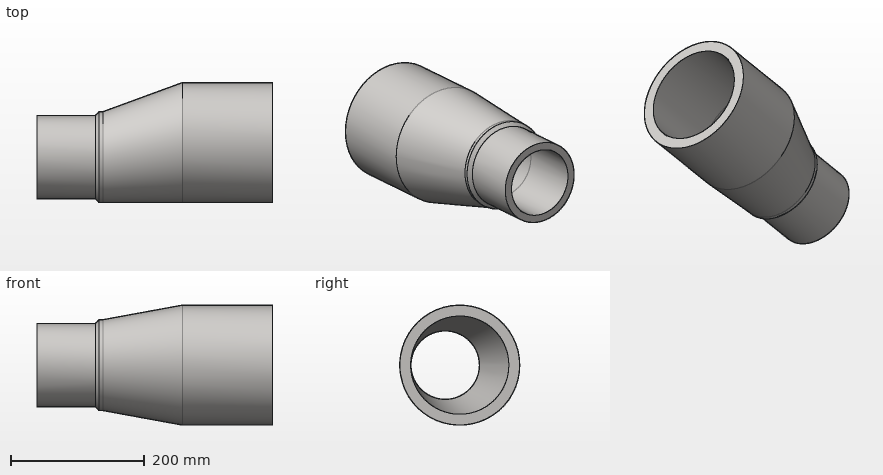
import cadquery as cq

TOTAL_LENGTH = 353.0
SMALL_DIAMETER = 125.0
SMALL_WALL = 11.4
LARGE_DIAMETER = 180.0
LARGE_WALL = 16.4

SPIGOT_LENGTH = 87.5
COLLAR_HEIGHT = 5.7
COLLAR_LAND = 5.5
CONE_LENGTH = 119.0

collar_diameter = SMALL_DIAMETER + 2 * COLLAR_HEIGHT
collar_start = SPIGOT_LENGTH + COLLAR_HEIGHT
cone_start = collar_start + COLLAR_LAND
cone_end = cone_start + CONE_LENGTH

LARGE_CENTRE_Y = 0.0
small_centre_y = LARGE_CENTRE_Y - (LARGE_DIAMETER - collar_diameter) / 2

small_bore = SMALL_DIAMETER - 2 * SMALL_WALL
large_bore = LARGE_DIAMETER - 2 * LARGE_WALL


def cylinder(x_start, x_end, centre_y, diameter):
    """Solid round bar along X."""
    plane = cq.Workplane("YZ", origin=(x_start, centre_y, 0))
    return plane.circle(diameter / 2).extrude(x_end - x_start)


def cone(x_start, start_y, start_diameter, x_end, end_y, end_diameter):
    """Solid straight-sided cone along X, oblique when the two centres differ."""
    return (
        cq.Workplane("YZ", origin=(x_start, start_y, 0))
        .circle(start_diameter / 2)
        .workplane(offset=x_end - x_start)
        .center(end_y - start_y, 0)
        .circle(end_diameter / 2)
        .loft(ruled=True)
    )


def outer_body():
    spigot = cylinder(0, SPIGOT_LENGTH, small_centre_y, SMALL_DIAMETER)
    chamfer = cone(
        SPIGOT_LENGTH, small_centre_y, SMALL_DIAMETER,
        collar_start, small_centre_y, collar_diameter,
    )
    collar = cylinder(collar_start, cone_start, small_centre_y, collar_diameter)
    taper = cone(
        cone_start, small_centre_y, collar_diameter,
        cone_end, LARGE_CENTRE_Y, LARGE_DIAMETER,
    )
    large_pipe = cylinder(cone_end, TOTAL_LENGTH, LARGE_CENTRE_Y, LARGE_DIAMETER)
    return spigot.union(chamfer).union(collar).union(taper).union(large_pipe)


def through_bore():
    """Through passage that widens over the same length as the outer cone."""
    small_passage = cylinder(0, cone_start, small_centre_y, small_bore)
    taper = cone(
        cone_start, small_centre_y, small_bore,
        cone_end, LARGE_CENTRE_Y, large_bore,
    )
    large_passage = cylinder(cone_end, TOTAL_LENGTH, LARGE_CENTRE_Y, large_bore)
    return small_passage.union(taper).union(large_passage)


result = outer_body().cut(through_bore())